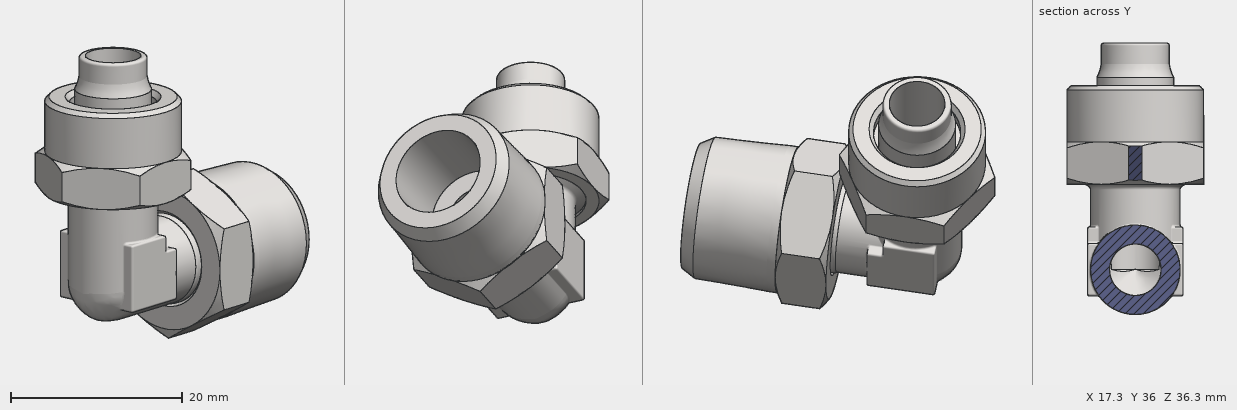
import cadquery as cq
import math

SIN_30 = math.sin(math.radians(30))
COS_30 = math.cos(math.radians(30))
TAN_30 = math.tan(math.radians(30))

PIPE_DIA = 10.5
PIPE_RADIUS = PIPE_DIA / 2
OUTER_BEND_RADIUS = 3.92
INNER_BEND_RADIUS = 0.15
BEND_CORE_WIDTH = 9.08
NECK_FILLET = 0.5

COLLAR_DIA = 13.0
COLLAR_TOP = 17.8
COLLAR_CONE_START = 9.75
COLLAR_CONE_RADIUS = PIPE_RADIUS + NECK_FILLET * (1 - SIN_30)

NIPPLE_TIP_DIA = 8.0
NIPPLE_BARB_DIA = 9.0
NIPPLE_TOP = 26.5
NIPPLE_FLARE_TOP = 24.05
NIPPLE_FLARE_BOTTOM = 22.48
NIPPLE_FLARE_RADIUS = 5.1
NIPPLE_TIP_FILLET = 0.33

VERTICAL_BORE_DIA = 6.5
VERTICAL_BORE_END = 0.05
HORIZONTAL_BORE_DIA = 6.0
HORIZONTAL_BORE_END = -1.55

PAD_HALF_SPAN = 5.6
PAD_NEAR = -3.1
PAD_STEP = -PAD_NEAR
PAD_FAR = 5.0
PAD_FILLET = 0.25

STUD_HEX_FLATS = 17.0
STUD_HEX_START = 9.3
STUD_HEX_END = 15.32
STUD_BAND_END = 16.3
STUD_END = 26.75
STUD_THREAD_DIA = 17.3
STUD_THREAD_TAPER = 1 / 16
STUD_CHAMFER_LENGTH = 1.65
STUD_MOUTH_DIA = 11.45
SPIGOT_DIA = 10.75
SPIGOT_PROTRUSION = 0.18
SPIGOT_START = STUD_HEX_START - SPIGOT_PROTRUSION
SPIGOT_END = STUD_BAND_END

NUT_FLATS = 16.0
NUT_BOTTOM = 10.0
NUT_HEX_TOP = 14.95
NUT_TOP = 21.53
NUT_TOP_CHAMFER = 0.5
NUT_HOLE_DIA = 10.2
NUT_HOLE_LIP_BOTTOM = 19.8
NUT_HOLE_CHAMFER_WIDTH = 0.5
NUT_HOLE_CHAMFER_DEPTH = 0.65


def rod(diameter, start, end):
    """Cylinder on the Z axis from height start to height end."""
    return cq.Workplane("XY", origin=(0, 0, start)).circle(diameter / 2).extrude(end - start)


def cone(start_radius, start, end_radius, end):
    """Cone or frustum on the Z axis."""
    height = end - start
    return cq.Workplane(cq.Solid.makeCone(start_radius, end_radius, height, pnt=cq.Vector(0, 0, start)))


def onto_y_axis(body):
    """Turn a body built along +Z so that it lies along +Y."""
    return body.rotate((0, 0, 0), (1, 0, 0), -90)


def chamfered_hex(flats, start, end):
    """Hexagon prism on the Z axis, corners along Y, both ends chamfered at 30 degrees."""
    corners = flats / COS_30
    prism = (
        cq.Workplane("XY", origin=(0, 0, start))
        .polygon(6, corners)
        .extrude(end - start)
        .rotate((0, 0, 0), (0, 0, 1), 30)
    )
    drop = (corners - flats) / 2 * TAN_30
    envelope = (
        cq.Workplane("XZ")
        .moveTo(0, start)
        .lineTo(flats / 2, start)
        .lineTo(corners / 2, start + drop)
        .lineTo(corners / 2, end - drop)
        .lineTo(flats / 2, end)
        .lineTo(0, end)
        .close()
        .revolve(360, (0, 0, 0), (0, 1, 0))
    )
    return prism.intersect(envelope)


def drilled_bore(diameter, end, mouth):
    """Drill shape on the Z axis: straight from mouth down to end, then a 120 degree point."""
    radius = diameter / 2
    return rod(diameter, end, mouth).union(cone(0, end - radius * TAN_30, radius, end))


def pipe_bend():
    """Core of two pipes mitred at the origin, its outer and inner mitre edges rounded."""
    beyond_mitre = (
        cq.Workplane("YZ", origin=(-PIPE_RADIUS, 0, 0))
        .polyline([(-PIPE_DIA, -PIPE_DIA), (PIPE_DIA, PIPE_DIA), (-PIPE_DIA, PIPE_DIA)])
        .close()
        .extrude(PIPE_DIA)
    )
    pipe = rod(PIPE_DIA, -PIPE_DIA, PIPE_DIA)
    core_length = 4 * PIPE_DIA
    core = cq.Workplane("XY").box(BEND_CORE_WIDTH, core_length, core_length)
    bend = pipe.intersect(beyond_mitre).union(onto_y_axis(pipe).cut(beyond_mitre)).intersect(core)
    margin = 0.35
    outer_corner = cq.selectors.BoxSelector((-margin, -PIPE_DIA, -PIPE_DIA), (margin, 0, 0))
    inner_corner = cq.selectors.BoxSelector((-margin, 0, 0), (margin, PIPE_RADIUS, PIPE_RADIUS))
    bend = bend.edges(outer_corner).fillet(OUTER_BEND_RADIUS)
    return bend.edges(inner_corner).fillet(INNER_BEND_RADIUS)


def pad():
    """L-shaped pad across the bend, its corners and outer edges rounded."""
    return (
        cq.Workplane("YZ", origin=(-PAD_HALF_SPAN, 0, 0))
        .polyline([
            (PAD_NEAR, PAD_NEAR),
            (PAD_FAR, PAD_NEAR),
            (PAD_FAR, PAD_STEP),
            (PAD_STEP, PAD_STEP),
            (PAD_STEP, PAD_FAR),
            (PAD_NEAR, PAD_FAR),
        ])
        .close()
        .extrude(2 * PAD_HALF_SPAN)
        .edges("|X")
        .fillet(PAD_FILLET)
        .faces("<X or >X")
        .edges()
        .fillet(PAD_FILLET)
    )


def fillet_pad_roots(body):
    """Round the smooth edge loop where each pad side meets the pipes, from the straight edge along Y."""
    root = math.sqrt(PIPE_RADIUS**2 - PAD_NEAR**2)
    margin = 0.05
    for side in (-1, 1):
        straight_edge = cq.selectors.BoxSelector(
            (side * root - margin, 0, PAD_NEAR - margin),
            (side * root + margin, PAD_FAR, PAD_NEAR + margin),
        )
        body = body.edges(straight_edge).fillet(PAD_FILLET)
    return body


def nipple_arm():
    """Upright arm above the bend: pipe, flared neck, collar and hose nipple."""
    pipe = PIPE_RADIUS
    collar = COLLAR_DIA / 2
    barb = NIPPLE_BARB_DIA / 2
    tip = NIPPLE_TIP_DIA / 2
    neck_bottom = COLLAR_CONE_START - NECK_FILLET * COS_30
    arc_middle = (
        pipe + NECK_FILLET * (1 - COS_30),
        neck_bottom + NECK_FILLET * SIN_30,
    )
    return (
        cq.Workplane("XZ")
        .moveTo(0, PAD_STEP)
        .lineTo(pipe, PAD_STEP)
        .lineTo(pipe, neck_bottom)
        .threePointArc(arc_middle, (COLLAR_CONE_RADIUS, COLLAR_CONE_START))
        .lineTo(collar, COLLAR_CONE_START + (collar - COLLAR_CONE_RADIUS) * TAN_30)
        .lineTo(collar, COLLAR_TOP)
        .lineTo(barb, COLLAR_TOP)
        .lineTo(barb, NIPPLE_FLARE_BOTTOM)
        .radiusArc((tip, NIPPLE_FLARE_TOP), NIPPLE_FLARE_RADIUS)
        .lineTo(tip, NIPPLE_TOP)
        .lineTo(0, NIPPLE_TOP)
        .close()
        .revolve(360, (0, 0, 0), (0, 1, 0))
        .faces(">Z")
        .edges()
        .fillet(NIPPLE_TIP_FILLET)
    )


def spigot_arm():
    """Level arm beyond the bend: pipe and the slightly thicker spigot that seats in the stud."""
    step = (SPIGOT_DIA - PIPE_DIA) / 2
    run = math.sqrt(NECK_FILLET**2 - (NECK_FILLET - step) ** 2)
    pipe = rod(PIPE_DIA, PAD_STEP, SPIGOT_START)
    flare = (
        cq.Workplane("XZ")
        .moveTo(0, SPIGOT_START - run)
        .lineTo(PIPE_RADIUS, SPIGOT_START - run)
        .radiusArc((SPIGOT_DIA / 2, SPIGOT_START), -NECK_FILLET)
        .lineTo(0, SPIGOT_START)
        .close()
        .revolve(360, (0, 0, 0), (0, 1, 0))
    )
    return onto_y_axis(pipe.union(flare).union(rod(SPIGOT_DIA, SPIGOT_START, SPIGOT_END)))


def build_elbow():
    vertical_bore = drilled_bore(VERTICAL_BORE_DIA, VERTICAL_BORE_END, NIPPLE_TOP)
    horizontal_bore = onto_y_axis(drilled_bore(HORIZONTAL_BORE_DIA, HORIZONTAL_BORE_END, SPIGOT_END))
    outside = pipe_bend().union(pad()).union(nipple_arm()).union(spigot_arm())
    return fillet_pad_roots(outside).cut(vertical_bore.union(horizontal_bore))


def build_stud():
    thread_radius = STUD_THREAD_DIA / 2
    chamfer_start = STUD_END - STUD_CHAMFER_LENGTH
    taper_radius = thread_radius - (chamfer_start - STUD_BAND_END) * STUD_THREAD_TAPER / 2
    end_radius = taper_radius - STUD_CHAMFER_LENGTH * TAN_30
    thread = (
        rod(STUD_THREAD_DIA, STUD_HEX_END, STUD_BAND_END)
        .union(cone(thread_radius, STUD_BAND_END, taper_radius, chamfer_start))
        .union(cone(taper_radius, chamfer_start, end_radius, STUD_END))
    )
    bore_radius = SPIGOT_DIA / 2
    mouth_radius = STUD_MOUTH_DIA / 2
    mouth_depth = mouth_radius - bore_radius
    mouth = cone(mouth_radius, STUD_HEX_START, bore_radius, STUD_HEX_START + mouth_depth)
    stud = chamfered_hex(STUD_HEX_FLATS, STUD_HEX_START, STUD_HEX_END).union(thread)
    stud = stud.cut(rod(SPIGOT_DIA, STUD_HEX_START, STUD_END)).cut(mouth)
    return onto_y_axis(stud)


def build_nut():
    barrel = rod(NUT_FLATS, NUT_HEX_TOP, NUT_TOP).faces(">Z").edges().chamfer(NUT_TOP_CHAMFER)
    hole_radius = NUT_HOLE_DIA / 2
    mouth = cone(
        hole_radius,
        NUT_TOP - NUT_HOLE_CHAMFER_DEPTH,
        hole_radius + NUT_HOLE_CHAMFER_WIDTH,
        NUT_TOP,
    )
    return (
        chamfered_hex(NUT_FLATS, NUT_BOTTOM, NUT_HEX_TOP)
        .union(barrel)
        .cut(rod(COLLAR_DIA, NUT_BOTTOM, NUT_HOLE_LIP_BOTTOM))
        .cut(rod(NUT_HOLE_DIA, NUT_BOTTOM, NUT_TOP))
        .cut(mouth)
    )


elbow = build_elbow()
stud = build_stud()
nut = build_nut()

result = cq.Compound.makeCompound([elbow.solids().val(), stud.solids().val(), nut.solids().val()])